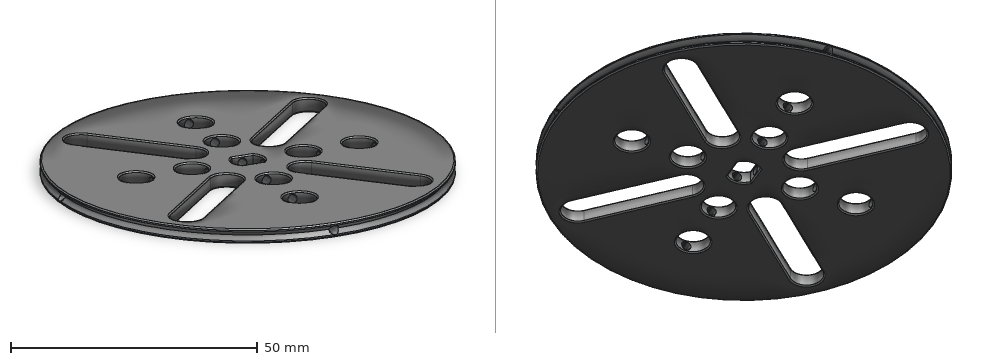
import cadquery as cq

disk_diameter = 84.4
thickness = 3.1
edge_chamfer = 0.295
groove_width = 1.9
groove_depth = 0.9

hole_diameter = 7.0
centre_flat_width = 5.15
hole_pitch = 12.5
holes_per_arm = 2
slot_inner_radius = hole_pitch
slot_outer_radius = 36.0

cross_hole_diameter = 2.0

disk_radius = disk_diameter / 2
half_thickness = thickness / 2
quarter_turns = (0, 90, 180, 270)
slot_tilt = 45


def grooved_blank():
    """Plain disk centred on the origin, with a V groove around its edge."""
    blank = cq.Workplane("XY").circle(disk_radius).extrude(half_thickness, both=True)
    groove = (
        cq.Workplane("XZ")
        .moveTo(disk_radius, -groove_width / 2)
        .lineTo(disk_radius - groove_depth, 0)
        .lineTo(disk_radius, groove_width / 2)
        .close()
        .revolve(360, (0, 0, 0), (0, 1, 0))
    )
    return blank.cut(groove)


def through_cutter(outline):
    """Cutter that passes an outline through the full thickness."""
    return outline.extrude(half_thickness, both=True)


def centre_hole():
    """Round hole with two flats parallel to Y."""
    round_hole = through_cutter(cq.Workplane("XY").circle(hole_diameter / 2))
    flats = through_cutter(cq.Workplane("XY").rect(centre_flat_width, hole_diameter))
    return round_hole.intersect(flats)


def round_holes():
    """Rows of evenly spaced holes along +X, +Y, -X and -Y."""
    cutters = cq.Workplane("XY")
    for angle in quarter_turns:
        for position in range(1, holes_per_arm + 1):
            hole = cq.Workplane("XY").center(position * hole_pitch, 0).circle(hole_diameter / 2)
            cutters = cutters.add(through_cutter(hole).rotate((0, 0, 0), (0, 0, 1), angle))
    return cutters.combine()


def radial_slots():
    """Round-ended slots on the diagonals."""
    middle_radius = (slot_inner_radius + slot_outer_radius) / 2
    slot_length = slot_outer_radius - slot_inner_radius + hole_diameter
    slot = through_cutter(cq.Workplane("XY").center(middle_radius, 0).slot2D(slot_length, hole_diameter))
    cutters = cq.Workplane("XY")
    for angle in quarter_turns:
        cutters = cutters.add(slot.rotate((0, 0, 0), (0, 0, 1), angle + slot_tilt))
    return cutters.combine()


def cross_hole(direction):
    """Hole through the whole disk along a direction, with its seam clear of the groove bottom."""
    across = cq.Plane(origin=(0, 0, 0), xDir=(0, 0, 1), normal=direction)
    return cq.Workplane(across).circle(cross_hole_diameter / 2).extrude(disk_diameter, both=True)


disk = grooved_blank().cut(centre_hole()).cut(round_holes()).cut(radial_slots())

disk = disk.faces("<Z or >Z").edges().chamfer(edge_chamfer)

for direction in ((1, 0, 0), (0, 1, 0)):
    disk = disk.cut(cross_hole(direction))

result = disk.solids()